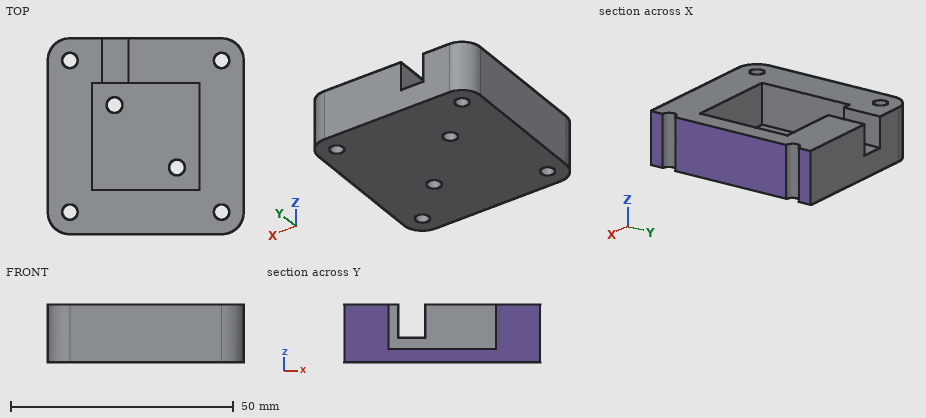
import cadquery as cq

SIDE = 44.0
HEIGHT = 13.0
CORNER_RADIUS = 5.0

POCKET_SIDE = 24.0
FLOOR_THICKNESS = 3.0

SLOT_WIDTH = 6.0
SLOT_CENTER_X = -6.84
SLOT_DEPTH = 7.5

CORNER_HOLE_DIAMETER = 3.4
CORNER_HOLE_INSET = 5.0
FLOOR_HOLE_DIAMETER = 3.5
FLOOR_HOLE_INSET = 5.0


def rounded_block():
    """Square block standing on Z = 0 with rounded vertical corners."""
    block = cq.Workplane("XY").box(SIDE, SIDE, HEIGHT, centered=(True, True, False))
    return block.edges("|Z").fillet(CORNER_RADIUS)


def cut_pocket(body):
    """Cut the central square pocket down to the floor."""
    pocket_depth = HEIGHT - FLOOR_THICKNESS
    sketch = cq.Workplane("XY", origin=(0, 0, HEIGHT)).rect(POCKET_SIDE, POCKET_SIDE)
    return body.cut(sketch.extrude(-pocket_depth))


def cut_cable_slot(body):
    """Cut the open-topped slot between the pocket and the +Y face."""
    inner_y = POCKET_SIDE / 2
    outer_y = SIDE / 2
    center = (SLOT_CENTER_X, (inner_y + outer_y) / 2, HEIGHT)
    sketch = cq.Workplane("XY", origin=center).rect(SLOT_WIDTH, outer_y - inner_y)
    return body.cut(sketch.extrude(-SLOT_DEPTH))


def cut_through_holes(body, centers, diameter):
    """Drill vertical holes through the full height at the given XY centers."""
    drills = cq.Workplane("XY").pushPoints(centers).circle(diameter / 2).extrude(HEIGHT)
    return body.cut(drills)


corner_offset = SIDE / 2 - CORNER_HOLE_INSET
corner_centers = [(sx * corner_offset, sy * corner_offset) for sx in (-1, 1) for sy in (-1, 1)]

floor_offset = POCKET_SIDE / 2 - FLOOR_HOLE_INSET
floor_centers = [(-floor_offset, floor_offset), (floor_offset, -floor_offset)]

result = rounded_block()
result = cut_pocket(result)
result = cut_cable_slot(result)
result = cut_through_holes(result, corner_centers, CORNER_HOLE_DIAMETER)
result = cut_through_holes(result, floor_centers, FLOOR_HOLE_DIAMETER)